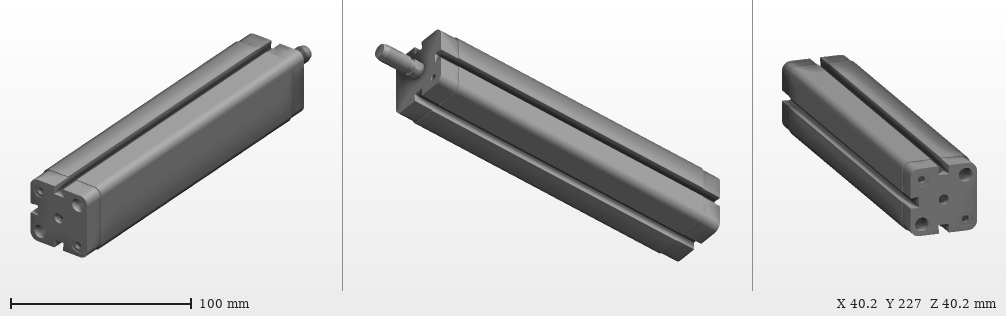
import cadquery as cq
import math

total_length = 227.0
barrel_side = 40.2
cap_side = 39.3
corner_radius = 5.0
cap_length = 12.3
rod_reach = 27.7

blind_face_y = -total_length / 2
rod_face_y = total_length / 2 - rod_reach
rod_tip_y = total_length / 2
housing_length = rod_face_y - blind_face_y
barrel_length = housing_length - 2 * cap_length

mouth_width = 6.0
channel_width = 6.4
floor_offset = 14.5
lip_offset = 17.3
slot_edge_radius = 0.2

hole_offset = 13.0
counterbore_diameter = 8.0
counterbore_depth = 11.4
through_diameter = 4.0
screw_recess = 0.5
socket_diameter = 4.0
socket_depth = 2.7
centre_hole_diameter = 6.0
centre_hole_depth = 4.5

rod_diameter = 10.0
neck_diameter = 8.0
tip_diameter = 8.2
tip_taper_length = 3.0
thread_end_y = rod_tip_y - 18.6
thread_runout = 0.7
shank_end_y = rod_tip_y - 22.0
flat_length = 3.5
across_flats = 8.0


def cylinder(diameter, start_y, end_y, x=0.0, z=0.0):
    """Round bar along Y between two Y positions."""
    start = cq.Vector(x, start_y, z)
    return cq.Workplane(cq.Solid.makeCylinder(diameter / 2, end_y - start_y, start, cq.Vector(0, 1, 0)))


def slot_cutter(face_offset, length):
    """Cutter for the +Z slot, with a rounded floor and a mouth flaring into the face at face_offset."""
    half_mouth = mouth_width / 2
    channel = cq.Workplane("XY").box(
        channel_width, length, lip_offset - floor_offset, centered=(True, True, False)
    )
    channel = channel.edges("|Y and <Z").fillet(slot_edge_radius)
    channel = channel.translate((0, 0, floor_offset))
    flare_x = half_mouth + slot_edge_radius
    flare_z = face_offset - slot_edge_radius
    mid_arc = slot_edge_radius * math.sqrt(0.5)
    mouth = (
        cq.Workplane("XZ")
        .moveTo(-half_mouth, lip_offset)
        .lineTo(half_mouth, lip_offset)
        .lineTo(half_mouth, flare_z)
        .threePointArc((flare_x - mid_arc, flare_z + mid_arc), (flare_x, face_offset))
        .lineTo(-flare_x, face_offset)
        .threePointArc((-flare_x + mid_arc, flare_z + mid_arc), (-half_mouth, flare_z))
        .close()
        .extrude(length / 2, both=True)
    )
    return channel.union(mouth)


def housing_section(side, start_y, length):
    """Rounded square bar with the three sensor slots running along it."""
    bar = cq.Workplane("XY").box(side, length, side).edges("|Y").fillet(corner_radius)
    slot = slot_cutter(side / 2, length)
    for angle in (0, 180, -90):
        bar = bar.cut(slot.rotate((0, 0, 0), (0, 1, 0), angle))
    return bar.translate((0, start_y + length / 2, 0))


def housing():
    barrel_start_y = blind_face_y + cap_length
    barrel = housing_section(barrel_side, barrel_start_y, barrel_length)
    blind_cap = housing_section(cap_side, blind_face_y, cap_length)
    rod_cap = housing_section(cap_side, rod_face_y - cap_length, cap_length)
    return barrel.union(blind_cap).union(rod_cap)


def through_hole(x, z):
    bore = cylinder(through_diameter, blind_face_y, rod_face_y, x, z)
    return bore.union(cylinder(counterbore_diameter, blind_face_y, blind_face_y + counterbore_depth, x, z))


def screw_hole(x, z):
    """Counterbore filled almost flush by a screw head, with the socket sunk in the head."""
    head_y = blind_face_y + screw_recess
    recess = cylinder(counterbore_diameter, blind_face_y, head_y, x, z)
    return recess.union(cylinder(socket_diameter, blind_face_y, head_y + socket_depth, x, z))


def wrench_flat():
    """Cutter for one flat, running out to the shank surface on a 45 degree slope."""
    flat_x = across_flats / 2
    outer_x = rod_diameter
    flat_start_y = shank_end_y - flat_length
    return (
        cq.Workplane("XY")
        .moveTo(flat_x, shank_end_y)
        .lineTo(flat_x, flat_start_y)
        .lineTo(outer_x, flat_start_y - (outer_x - flat_x))
        .lineTo(outer_x, shank_end_y)
        .close()
        .extrude(rod_diameter, both=True)
    )


def piston_rod():
    flat = wrench_flat()
    shank = cylinder(rod_diameter, rod_face_y, shank_end_y).cut(flat).cut(flat.mirror("YZ"))
    neck = cylinder(neck_diameter, shank_end_y, thread_end_y)
    thread = cylinder(rod_diameter, thread_end_y - thread_runout, rod_tip_y)
    thread = thread.faces(">Y").chamfer(tip_taper_length, (rod_diameter - tip_diameter) / 2)
    thread = thread.faces("<Y").chamfer(thread_runout, (rod_diameter - neck_diameter) / 2)
    return shank.union(neck).union(thread)


result = housing().union(piston_rod())
for x in (-hole_offset, hole_offset):
    result = result.cut(through_hole(x, x))
    result = result.cut(screw_hole(x, -x))
result = result.cut(cylinder(centre_hole_diameter, blind_face_y, blind_face_y + centre_hole_depth))